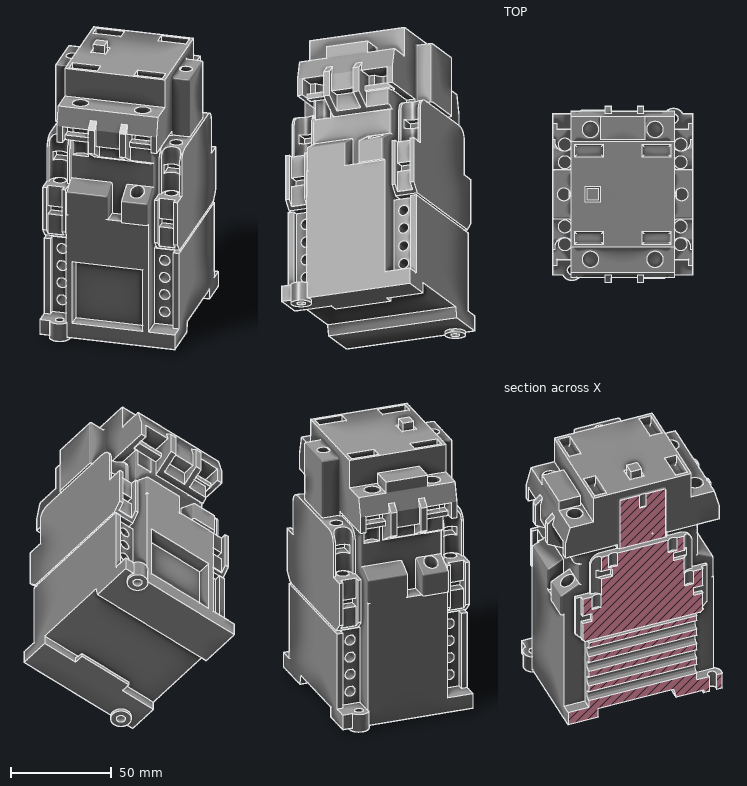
import cadquery as cq

BASE_HALF_X = 34.7
BASE_HALF_Y = 40.0
BASE_TOP = 8.0
FOOT_DROP = 1.6
LUG_X = 25.2
LUG_Y = 37.55
LUG_RADIUS = 5.15
LUG_HALF_WIDTH = 4.4
LUG_HOLE_RADIUS = 2.2
RAIL_ROOF = 5.4
RAIL_REAR_Y = 23.7
RAIL_FRONT_ROOF_Y = -16.5
RAIL_FRONT_FOOT_Y = -17.8
HOOK_REACH = 5.0
HOOK_ROOT_Z = 3.4
HOOK_TIP_Z = 2.0
HOOK_HALF_X = 15.0

BODY_HALF_X = 21.2
SHOULDER_Z = 66.5
NECK_HALF_Y = 31.7
EDGE_ROUND = 1.0
LABEL_HALF_X = 18.2
LABEL_TOP = 41.4
LABEL_DEPTH = 7.0

TERMINAL_TOP = 83.2
TERMINAL_SLOPE = 0.533
WIDE_TERMINAL_INNER_X = 0.2
NARROW_TERMINAL_INNER_X = 7.4
NARROW_TERMINAL_Y = 41.7
TERMINAL_HOLE_X = 14.1
TERMINAL_HOLE_Y = 35.3
TERMINAL_HOLE_RADIUS = 3.5
TERMINAL_HOLE_FLOOR = 71.2

COVER_HALF_X = 25.7
COVER_BOTTOM = 106.1
COVER_TOP = 139.6
COVER_LIP_Z = 114.7
COVER_LEDGE_Z = 124.6
COVER_HALF_Y = 41.2
COVER_LEDGE_HALF_Y = 38.6
COVER_CROWN_HALF_Y = 26.2
WINDOW_HALF_X = 22.8
SHELF_BOTTOM = 105.6
SHELF_TOP = 108.1
SHELF_HALF_Y = 36.2
SCREW_X = 16.0
SCREW_Y = 32.2
SCREW_RADIUS = 4.05
SCREW_DEPTH = 8.0
SCREW_CHANNEL_BOTTOM = 95.7

CONTACT_HALF_Y = 34.6
CONTACT_BOTTOM = 95.9
RIB_Y = 43.7
RIB_WIDTH = 3.2
RIB_LEFT_X = (-8.8, 7.2)
RIB_SHOULDER_Z = 115.7
RIB_TOP_Z = 119.4
RIB_TOP_Y = 39.9
RIB_LOWER_Z = 103.1

WINDOW_SIDES = (
    (-WINDOW_HALF_X, RIB_LEFT_X[0]),
    (RIB_LEFT_X[1] + RIB_WIDTH, WINDOW_HALF_X),
)

POCKET_X = 16.75
POCKET_Y = 21.65
POCKET_LENGTH = 14.5
POCKET_WIDTH = 6.3
POCKET_DEPTH = 5.5
POCKET_FLOOR_RADIUS = 1.2
BUTTON_X = -14.9
BUTTON_SIDE = 5.7
BUTTON_TOP = 143.5
BUTTON_WELL_SIDE = 7.7
BUTTON_WELL_DEPTH = 2.0
CAP_HALF_X = 11.1
CAP_FRONT_Y = 27.1
CAP_TOP = 130.6

TOWER_OUTER_X = 34.7
TOWER_HALF_Y = 12.3
TOWER_BOTTOM = 103.7
TOWER_TOP = 134.7
TOWER_HOLE_X = 29.2
SIDE_HOLE_RADIUS = 3.2
SIDE_HOLE_DEPTH = 8.0

SIDE_INNER_X = 23.0
SIDE_OUTER_X = 34.7
SIDE_BOTTOM = 50.2
SIDE_TOP = 101.6
SIDE_SHELF_Z = 77.8
SIDE_UPPER_HALF_Y = 27.2
SIDE_LOWER_HALF_Y = 35.2
SIDE_BOTTOM_HALF_Y = 31.0
SIDE_CHAMFER_Z = 54.8
SIDE_CORNER_RADIUS = 6.0
SIDE_HOLE_X = 28.7
SIDE_TOP_HOLE_Y = 15.9
SIDE_SHELF_HOLE_Y = 24.7
GROOVE_X = 28.9
GROOVE_Y = 26.2
GROOVE_RADIUS = 4.75
SLOT_INNER_X = 24.6
SLOT_OUTER_X = 32.7
SLOT_FLOOR = 51.8
SLOT_BACK_Y = 32.2
UPPER_WINDOW_Z = (87.7, 92.2)
LOWER_WINDOW_Z = (62.3, 66.8)
WINDOW_DEPTH = 5.0
PIN_Z = 72.1
PIN_RADIUS = 2.9

COIL_TOP = 48.9
COIL_WALL_INNER_X = 31.6
COIL_WALL_HALF_Y = 32.2
COIL_HALF_Y = 28.9
COIL_HOLE_X = 26.4
COIL_HOLE_RADIUS = 2.65
COIL_HOLE_FIRST_Z = 14.9
COIL_HOLE_PITCH = 9.3
COIL_HOLE_COUNT = 4

Z_AXIS_START = (0, 0, 0)
Z_AXIS_END = (0, 0, 1)


def block(x_range, y_range, z_range):
    """Box between two opposite corners."""
    size = [high - low for low, high in (x_range, y_range, z_range)]
    corner = (x_range[0], y_range[0], z_range[0])
    return cq.Workplane("XY").box(*size, centered=False).translate(corner)


def post(x, y, radius, bottom, top):
    """Upright cylinder."""
    return cq.Workplane("XY").workplane(offset=bottom).center(x, y).circle(radius).extrude(top - bottom)


def slab(outline, x_start, x_end):
    """Prism with an outline in Y and Z, running along X."""
    return cq.Workplane("YZ").workplane(offset=x_start).polyline(outline).close().extrude(x_end - x_start)


def half_turn(shape):
    """The same shape on the opposite corner."""
    return shape.rotate(Z_AXIS_START, Z_AXIS_END, 180)


def with_half_turn(shape):
    return shape.union(half_turn(shape))


def with_mirror(shape, plane):
    return shape.union(shape.mirror(plane))


def make_base():
    base = block((-BASE_HALF_X, BASE_HALF_X), (-BASE_HALF_Y, BASE_HALF_Y), (0, BASE_TOP))
    rail = [
        (RAIL_REAR_Y, 0),
        (RAIL_REAR_Y, RAIL_ROOF),
        (RAIL_FRONT_ROOF_Y, RAIL_ROOF),
        (RAIL_FRONT_FOOT_Y, 0),
    ]
    hook = [
        (RAIL_REAR_Y, 0),
        (RAIL_REAR_Y, HOOK_ROOT_Z),
        (RAIL_REAR_Y - HOOK_REACH, HOOK_TIP_Z),
        (RAIL_REAR_Y - HOOK_REACH, 0),
    ]
    base = base.cut(slab(rail, -BASE_HALF_X, BASE_HALF_X))
    base = base.union(slab(hook, -HOOK_HALF_X, HOOK_HALF_X))

    lug = post(-LUG_X, -LUG_Y, LUG_RADIUS, 0, BASE_TOP).intersect(
        block(
            (-LUG_X - LUG_HALF_WIDTH, -LUG_X + LUG_HALF_WIDTH),
            (-LUG_Y - LUG_RADIUS, -LUG_Y + LUG_RADIUS),
            (0, BASE_TOP),
        )
    )
    lug = lug.union(post(-LUG_X, -LUG_Y, LUG_RADIUS, -FOOT_DROP, 0))
    hole = post(-LUG_X, -LUG_Y, LUG_HOLE_RADIUS, -FOOT_DROP, BASE_TOP)
    return base.union(with_half_turn(lug)).cut(with_half_turn(hole))


def make_body():
    body = block((-BODY_HALF_X, BODY_HALF_X), (-BASE_HALF_Y, BASE_HALF_Y), (BASE_TOP, SHOULDER_Z))
    label = block(
        (-LABEL_HALF_X, LABEL_HALF_X),
        (-BASE_HALF_Y, -BASE_HALF_Y + LABEL_DEPTH),
        (BASE_TOP, LABEL_TOP),
    )
    neck = block((-BODY_HALF_X, BODY_HALF_X), (-NECK_HALF_Y, NECK_HALF_Y), (SHOULDER_Z, COVER_BOTTOM))
    neck = neck.edges("|Z").fillet(EDGE_ROUND)
    return body.cut(label).union(neck)


def make_terminal(x_start, x_end, front_y):
    """Sloped terminal block on the front shoulder, with rounded front and slope edges."""
    back_y = NECK_HALF_Y - 2 * EDGE_ROUND
    front_z = TERMINAL_TOP - TERMINAL_SLOPE * (front_y - NECK_HALF_Y)
    back_z = TERMINAL_TOP + TERMINAL_SLOPE * (NECK_HALF_Y - back_y)
    outline = [
        (-back_y, SHOULDER_Z),
        (-front_y, SHOULDER_Z),
        (-front_y, front_z),
        (-back_y, back_z),
    ]
    terminal = slab(outline, x_start, x_end)
    upright_edges = terminal.faces("<Y").edges("|Z")
    slope_edges = terminal.faces("not(|X or |Y or |Z)").edges("not(>Z)")
    return terminal.newObject(upright_edges.vals() + slope_edges.vals()).fillet(EDGE_ROUND)


def make_terminals():
    wide = make_terminal(-BODY_HALF_X, WIDE_TERMINAL_INNER_X, BASE_HALF_Y)
    narrow = make_terminal(NARROW_TERMINAL_INNER_X, BODY_HALF_X, NARROW_TERMINAL_Y)
    hole = post(
        TERMINAL_HOLE_X,
        -TERMINAL_HOLE_Y,
        TERMINAL_HOLE_RADIUS,
        TERMINAL_HOLE_FLOOR,
        TERMINAL_TOP,
    )
    return with_half_turn(wide.union(narrow).cut(hole))


def make_contact_block():
    """Block between the ribs, below one screw channel, on the front."""
    lower_slope = (RIB_LOWER_Z - CONTACT_BOTTOM) / (RIB_Y - NECK_HALF_Y)
    front_z = CONTACT_BOTTOM + lower_slope * (CONTACT_HALF_Y - NECK_HALF_Y)
    outline = [
        (0, CONTACT_BOTTOM),
        (-NECK_HALF_Y, CONTACT_BOTTOM),
        (-CONTACT_HALF_Y, front_z),
        (-CONTACT_HALF_Y, COVER_BOTTOM),
        (0, COVER_BOTTOM),
    ]
    contact = slab(outline, RIB_LEFT_X[0], BODY_HALF_X)
    return contact.faces("<Y").edges(">X").fillet(EDGE_ROUND)


def make_ribs():
    outline = [
        (-NECK_HALF_Y, CONTACT_BOTTOM),
        (-RIB_Y, RIB_LOWER_Z),
        (-RIB_Y, RIB_SHOULDER_Z),
        (-RIB_TOP_Y, RIB_TOP_Z),
        (-NECK_HALF_Y, RIB_TOP_Z),
    ]
    ribs = cq.Workplane("XY")
    for left_x in RIB_LEFT_X:
        ribs = ribs.union(slab(outline, left_x, left_x + RIB_WIDTH))
    return with_mirror(ribs, "XZ")


def make_cover():
    front_outline = [
        (-COVER_HALF_Y, COVER_BOTTOM),
        (-COVER_HALF_Y, COVER_LIP_Z),
        (-COVER_LEDGE_HALF_Y, COVER_LEDGE_Z),
        (-COVER_CROWN_HALF_Y, COVER_LEDGE_Z),
        (-COVER_CROWN_HALF_Y, COVER_TOP),
    ]
    rear_outline = [(-y, z) for y, z in reversed(front_outline)]
    cover = slab(front_outline + rear_outline, -COVER_HALF_X, COVER_HALF_X)

    for x_range in WINDOW_SIDES:
        window = block(x_range, (-COVER_HALF_Y, -NECK_HALF_Y), (COVER_BOTTOM, COVER_LIP_Z))
        cover = cover.cut(with_mirror(window, "XZ"))

    cap = block((-CAP_HALF_X, CAP_HALF_X), (CAP_FRONT_Y, COVER_LEDGE_HALF_Y), (COVER_LEDGE_Z, CAP_TOP))
    return cover.union(cap)


def make_shelves():
    """Thin shelves across the foot of the cover windows."""
    shelves = cq.Workplane("XY")
    for x_range in WINDOW_SIDES:
        shelf = block(x_range, (-SHELF_HALF_Y, -NECK_HALF_Y), (SHELF_BOTTOM, SHELF_TOP))
        shelves = shelves.union(with_mirror(shelf, "XZ"))
    return shelves


def cut_screw_holes(shape):
    """Screw wells in the ledges, in line with channels down the neck below the cover."""
    for x in (-SCREW_X, SCREW_X):
        for y in (-SCREW_Y, SCREW_Y):
            well = post(x, y, SCREW_RADIUS, COVER_LEDGE_Z - SCREW_DEPTH, COVER_LEDGE_Z)
            channel = post(x, y, SCREW_RADIUS, SCREW_CHANNEL_BOTTOM, COVER_LIP_Z)
            shape = shape.cut(well).cut(channel)
    return shape


def cut_top_pockets(shape):
    pockets = (
        cq.Workplane("XY")
        .workplane(offset=COVER_TOP)
        .rect(2 * POCKET_X, 2 * POCKET_Y, forConstruction=True)
        .vertices()
        .rect(POCKET_LENGTH, POCKET_WIDTH)
        .extrude(-POCKET_DEPTH)
        .faces("<Z")
        .edges()
        .fillet(POCKET_FLOOR_RADIUS)
    )
    return shape.cut(pockets)


def add_button(shape):
    well_floor = COVER_TOP - BUTTON_WELL_DEPTH
    plane = cq.Workplane("XY").workplane(offset=well_floor).center(BUTTON_X, 0)
    well = plane.rect(BUTTON_WELL_SIDE, BUTTON_WELL_SIDE).extrude(BUTTON_WELL_DEPTH)
    button = plane.rect(BUTTON_SIDE, BUTTON_SIDE).extrude(BUTTON_TOP - well_floor)
    return shape.cut(well).union(button)


def make_tower():
    """Tower on the +X flank of the cover, blended into the flank by a hollow round."""
    tower = block(
        (BODY_HALF_X, TOWER_OUTER_X),
        (-TOWER_HALF_Y, TOWER_HALF_Y),
        (TOWER_BOTTOM, TOWER_TOP),
    )
    outer_edges = tower.faces(">X").edges("|Z")
    top_edges = tower.faces(">Z").edges("not(<X)")
    tower = tower.newObject(outer_edges.vals() + top_edges.vals()).fillet(EDGE_ROUND)

    flank = block(
        (BODY_HALF_X, COVER_HALF_X),
        (-COVER_CROWN_HALF_Y, COVER_CROWN_HALF_Y),
        (TOWER_BOTTOM, COVER_TOP),
    )
    blended_half_y = TOWER_HALF_Y + EDGE_ROUND
    blended_space = block(
        (BODY_HALF_X, TOWER_OUTER_X),
        (-blended_half_y, blended_half_y),
        (TOWER_BOTTOM, TOWER_TOP + EDGE_ROUND),
    )
    seam = cq.selectors.BoxSelector(
        (COVER_HALF_X - EDGE_ROUND / 2, -blended_half_y, TOWER_BOTTOM),
        (COVER_HALF_X + EDGE_ROUND / 2, blended_half_y, TOWER_TOP + EDGE_ROUND),
    )
    tower = flank.union(tower).edges(seam).edges("not(<Z)").fillet(EDGE_ROUND)
    hole = post(TOWER_HOLE_X, 0, SIDE_HOLE_RADIUS, TOWER_TOP - SIDE_HOLE_DEPTH, TOWER_TOP)
    return tower.intersect(blended_space).cut(hole)


def make_side_block():
    """Side contact block on +X, joined to the core by a pin."""
    upper = block(
        (SIDE_INNER_X, SIDE_OUTER_X),
        (-SIDE_UPPER_HALF_Y, SIDE_UPPER_HALF_Y),
        (SIDE_SHELF_Z, SIDE_TOP),
    )
    upper = upper.edges("|X and >Z").fillet(SIDE_CORNER_RADIUS)
    lower_outline = [
        (-SIDE_BOTTOM_HALF_Y, SIDE_BOTTOM),
        (-SIDE_LOWER_HALF_Y, SIDE_CHAMFER_Z),
        (-SIDE_LOWER_HALF_Y, SIDE_SHELF_Z),
        (SIDE_LOWER_HALF_Y, SIDE_SHELF_Z),
        (SIDE_LOWER_HALF_Y, SIDE_CHAMFER_Z),
        (SIDE_BOTTOM_HALF_Y, SIDE_BOTTOM),
    ]
    side = upper.union(slab(lower_outline, SIDE_INNER_X, SIDE_OUTER_X))

    slot_x = (SLOT_INNER_X, SLOT_OUTER_X)
    groove_back_y = GROOVE_Y - GROOVE_RADIUS
    shelf_hole = post(
        SIDE_HOLE_X,
        -SIDE_SHELF_HOLE_Y,
        SIDE_HOLE_RADIUS,
        SIDE_SHELF_Z - SIDE_HOLE_DEPTH,
        SIDE_SHELF_Z,
    )
    front_cuts = [
        post(GROOVE_X, -GROOVE_Y, GROOVE_RADIUS, SIDE_SHELF_Z, SIDE_TOP),
        block(slot_x, (-SIDE_LOWER_HALF_Y, -SLOT_BACK_Y), (SLOT_FLOOR, SIDE_SHELF_Z)),
        block(slot_x, (-SLOT_BACK_Y, -SLOT_BACK_Y + WINDOW_DEPTH), LOWER_WINDOW_Z),
        block(slot_x, (-GROOVE_Y, -groove_back_y + WINDOW_DEPTH), UPPER_WINDOW_Z),
        post(SIDE_HOLE_X, -SIDE_TOP_HOLE_Y, SIDE_HOLE_RADIUS, SIDE_TOP - SIDE_HOLE_DEPTH, SIDE_TOP),
        shelf_hole,
    ]
    for front_cut in front_cuts:
        side = side.cut(with_mirror(front_cut, "XZ"))

    pin_length = SIDE_INNER_X - BODY_HALF_X
    pin = cq.Workplane("YZ").workplane(offset=BODY_HALF_X).center(0, PIN_Z).circle(PIN_RADIUS)
    return side.union(pin.extrude(pin_length))


def make_coil_block():
    """Coil block on +X, with a tall outer wall and a row of holes along Y."""
    core = block((BODY_HALF_X, COIL_WALL_INNER_X), (-COIL_HALF_Y, COIL_HALF_Y), (BASE_TOP, COIL_TOP))
    wall = block(
        (COIL_WALL_INNER_X, BASE_HALF_X),
        (-COIL_WALL_HALF_Y, COIL_WALL_HALF_Y),
        (BASE_TOP, COIL_TOP),
    )
    hole_plane = cq.Workplane("XZ").workplane(offset=-COIL_HALF_Y)
    for index in range(COIL_HOLE_COUNT):
        z = COIL_HOLE_FIRST_Z + index * COIL_HOLE_PITCH
        hole = hole_plane.center(COIL_HOLE_X, z).circle(COIL_HOLE_RADIUS).extrude(2 * COIL_HALF_Y)
        core = core.cut(hole)
    return core.union(wall)


part = make_base().union(make_body()).union(make_terminals())
part = cut_screw_holes(part.union(make_cover())).union(with_half_turn(make_contact_block()))
part = part.union(make_shelves()).union(make_ribs())
part = add_button(cut_top_pockets(part))
for flank in (make_tower(), make_side_block(), make_coil_block()):
    part = part.union(with_mirror(flank, "YZ"))

result = part